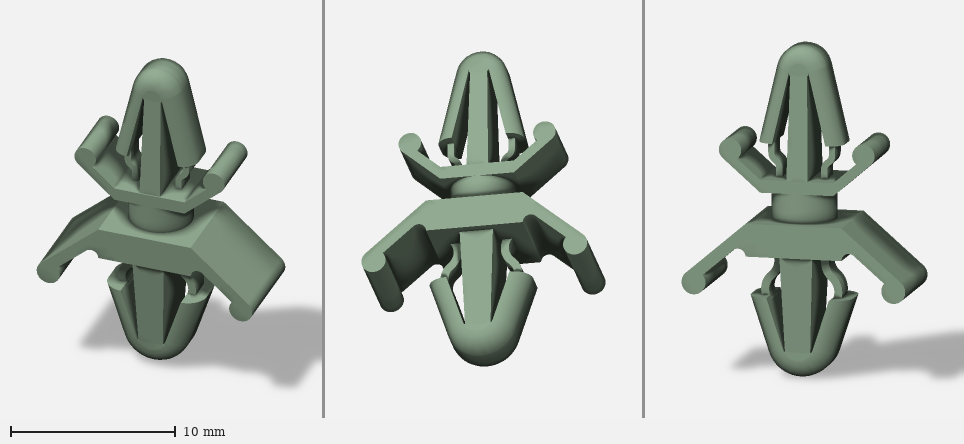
import math

import cadquery as cq

UP = 1
DOWN = -1

spacer_diameter = 4.0
spacer_height = 1.8

lower_clip_depth = 5.7
lower_plate_half = 3.0
lower_plate_thickness = 2.03
overall_width = 14.0
lower_bead_radius = 0.75
lower_bead_x = overall_width / 2 - lower_bead_radius
lower_bead_z = -3.775
relief_radius = 0.47

upper_clip_depth = 4.0
upper_plate_half = 2.28
upper_plate_thickness = 0.8
upper_bead_radius = 0.7
upper_bead_x = 4.17
upper_bead_z = 4.365
upper_plate_top = spacer_height + upper_plate_thickness

top_z = 10.77
upper_arch_radius = 0.6
upper_leg_thickness = 0.98
upper_flat_half = 0.53
upper_splay = 13.3
upper_arch_z = top_z - upper_arch_radius - upper_leg_thickness
upper_foot_z = 4.75
upper_post_end_z = 9.06
upper_post_end_half = 0.53
upper_post_root_half_x = 0.67
upper_post_root_half_y = 1.93

overall_height = 20.5
bottom_z = top_z - overall_height
lower_arch_radius = 0.97
lower_leg_thickness = 1.18
lower_flat_half = 0.6
lower_splay = 18.3
lower_arch_z = bottom_z + lower_arch_radius + lower_leg_thickness
lower_foot_z = -4.76
lower_post_end_z = -8.05
lower_post_end_half = 0.79
lower_post_root_half_x = 1.03
lower_post_root_half_y = 2.25

strip_depth = 1.42
upper_strip_thickness = 0.4
upper_strip_foot_x = 1.895
upper_strip_foot_z = 4.05
upper_strip_root_x = 1.405
upper_strip_root_z = 3.15
lower_strip_thickness = 0.5
lower_strip_foot_x = 2.29
lower_strip_foot_z = -4.41
lower_strip_root_x = 1.46
lower_strip_root_z = -2.61
lower_strip_end_angle = 38.0

embed = 0.2


def polar(center, radius, degrees):
    """Point at an angle on a circle in the XZ plane."""
    angle = math.radians(degrees)
    return (center[0] + radius * math.cos(angle), center[1] + radius * math.sin(angle))


def extrude_y(outline, depth):
    """Extrude a closed XZ outline symmetrically about Y = 0."""
    return outline.extrude(depth / 2, both=True)


def both_sides(body):
    """Body joined with its mirror image across X = 0."""
    return body.union(body.mirror("YZ"))


def arm_angle(root, bead, bead_radius):
    """Slope in degrees of the line from root that touches the far side of the bead."""
    run = bead[0] - root[0]
    rise = abs(bead[1] - root[1])
    return math.degrees(math.atan2(rise, run) - math.asin(bead_radius / math.hypot(run, rise)))


def bead_body(bead, radius, depth):
    return extrude_y(cq.Workplane("XZ").center(*bead).circle(radius), depth)


def lower_clip():
    root = (lower_plate_half, 0)
    bead = (lower_bead_x, lower_bead_z)
    slope = arm_angle(root, bead, lower_bead_radius)
    outer_normal = 90 - slope
    relief = (lower_plate_half + relief_radius, -lower_plate_thickness)
    relief_end = polar(relief, relief_radius, outer_normal)
    normal = math.radians(outer_normal)
    arm_thickness = (root[0] - relief_end[0]) * math.cos(normal) - relief_end[1] * math.sin(normal)
    outline = (
        cq.Workplane("XZ")
        .moveTo(0, 0)
        .lineTo(*root)
        .lineTo(*polar(bead, lower_bead_radius, outer_normal))
        .lineTo(*polar(bead, lower_bead_radius - arm_thickness, outer_normal))
        .lineTo(*relief_end)
        .threePointArc(polar(relief, relief_radius, 120), polar(relief, relief_radius, 180))
        .lineTo(0, -lower_plate_thickness)
        .close()
    )
    half = extrude_y(outline, lower_clip_depth)
    return both_sides(half.union(bead_body(bead, lower_bead_radius, lower_clip_depth)))


def upper_clip():
    root = (upper_plate_half, spacer_height)
    bead = (upper_bead_x, upper_bead_z)
    slope = arm_angle(root, bead, upper_bead_radius)
    outer_normal = slope - 90
    arm_thickness = upper_plate_thickness * math.cos(math.radians(slope))
    outline = (
        cq.Workplane("XZ")
        .moveTo(0, spacer_height)
        .lineTo(*root)
        .lineTo(*polar(bead, upper_bead_radius, outer_normal))
        .lineTo(*polar(bead, upper_bead_radius - arm_thickness, outer_normal))
        .lineTo(upper_plate_half, upper_plate_top)
        .lineTo(0, upper_plate_top)
        .close()
    )
    half = extrude_y(outline, upper_clip_depth)
    return both_sides(half.union(bead_body(bead, upper_bead_radius, upper_clip_depth)))


def spacer():
    return cq.Workplane("XY").circle(spacer_diameter / 2).extrude(spacer_height)


def arch(radius, thickness, flat_half, splay, leg_drop):
    """Upward arch with its bend centre at the origin and level feet leg_drop below it.

    The section is flat inside and has a full-thickness quarter round on each outer edge.
    """
    bend_start = polar((0, 0), radius, 180 - splay)
    bend_end = polar((0, 0), radius, splay)
    start_drop = leg_drop + thickness
    spread = (start_drop + bend_end[1]) * math.tan(math.radians(splay))
    start = (bend_start[0] - spread, -start_drop)
    end = (bend_end[0] + spread, -start_drop)
    path = (
        cq.Workplane("XZ")
        .moveTo(*start)
        .lineTo(*bend_start)
        .threePointArc((0, radius), bend_end)
        .lineTo(*end)
    )
    heading = polar((0, 0), 1, 90 - splay)
    section_plane = cq.Plane(
        origin=(start[0], 0, start[1]), xDir=(0, 1, 0), normal=(heading[0], 0, heading[1])
    )
    half_depth = flat_half + thickness
    section = (
        cq.Workplane(section_plane)
        .moveTo(-half_depth, 0)
        .threePointArc(polar((-flat_half, 0), thickness, 135), (-flat_half, thickness))
        .lineTo(flat_half, thickness)
        .threePointArc(polar((flat_half, 0), thickness, 45), (half_depth, 0))
        .close()
    )
    body = section.sweep(path)
    below_feet = (
        cq.Workplane("XY")
        .workplane(offset=-leg_drop)
        .rect(4 * (end[0] + thickness), 4 * half_depth)
        .extrude(-2 * start_drop)
    )
    return body.cut(below_feet)


def arch_fill(radius, chord_z, depth):
    """Circular segment that fills the inside of the bend above chord_z."""
    chord_half = math.sqrt(radius**2 - chord_z**2)
    outline = (
        cq.Workplane("XZ")
        .moveTo(-chord_half, chord_z)
        .threePointArc((0, radius), (chord_half, chord_z))
        .close()
    )
    return extrude_y(outline, depth)


def post(root_z, root_half_x, root_half_y, end_z, end_half_x, end_half_y):
    """Rectangular post tapering from its root to its end."""
    return (
        cq.Workplane("XY")
        .workplane(offset=root_z)
        .rect(2 * root_half_x, 2 * root_half_y)
        .workplane(offset=end_z - root_z)
        .rect(2 * end_half_x, 2 * end_half_y)
        .loft(ruled=True)
    )


def snap_head(direction, arch_z, radius, thickness, flat_half, splay, foot_z, post_end_z):
    """Arch with its filled bend, pointing up or down from the feet at foot_z."""
    leg_drop = abs(arch_z - foot_z)
    chord_z = direction * (post_end_z - arch_z)
    depth = 2 * (flat_half + thickness)
    head = arch(radius, thickness, flat_half, splay, leg_drop)
    head = head.union(arch_fill(radius, chord_z, depth))
    if direction == DOWN:
        head = head.mirror("XY")
    return head.translate((0, 0, arch_z))


def s_strip(foot, root, thickness, end_angle):
    """Strip of two equal tangent arcs, vertical at foot and root, with foot further out.

    Each arc runs end_angle degrees past its vertical point.
    """
    run = foot[0] - root[0]
    rise = abs(foot[1] - root[1])
    radius = (run**2 + rise**2) / (4 * run)
    turn = math.degrees(math.acos(1 - run / (2 * radius)))
    side = UP if foot[1] > root[1] else DOWN
    foot_center = (foot[0] - radius, foot[1])
    root_center = (root[0] + radius, root[1])
    inner = radius - thickness / 2
    outer = radius + thickness / 2

    def arc_piece(center, facing, past, toward):
        """Ring sector about the facing angle."""
        first = facing + past
        last = facing + toward
        middle = (first + last) / 2
        outline = (
            cq.Workplane("XZ")
            .moveTo(*polar(center, inner, first))
            .threePointArc(polar(center, inner, middle), polar(center, inner, last))
            .lineTo(*polar(center, outer, last))
            .threePointArc(polar(center, outer, middle), polar(center, outer, first))
            .close()
        )
        return extrude_y(outline, strip_depth)

    foot_piece = arc_piece(foot_center, 0, side * end_angle, -side * turn)
    root_piece = arc_piece(root_center, 180, side * end_angle, -side * turn)
    return foot_piece.union(root_piece)


def strip_lead(x, z_from, z_to, thickness):
    """Straight vertical stretch of strip centred on x."""
    middle = (z_from + z_to) / 2
    outline = cq.Workplane("XZ").center(x, middle).rect(thickness, abs(z_to - z_from))
    return extrude_y(outline, strip_depth)


def upper_strips():
    foot = (upper_strip_foot_x, upper_strip_foot_z)
    root = (upper_strip_root_x, upper_strip_root_z)
    strip = s_strip(foot, root, upper_strip_thickness, 0)
    foot_lead = strip_lead(foot[0], foot[1], upper_foot_z + embed, upper_strip_thickness)
    root_lead = strip_lead(root[0], upper_plate_top - embed, root[1], upper_strip_thickness)
    return both_sides(strip.union(foot_lead).union(root_lead))


def lower_strips():
    foot = (lower_strip_foot_x, lower_strip_foot_z)
    root = (lower_strip_root_x, lower_strip_root_z)
    return both_sides(s_strip(foot, root, lower_strip_thickness, lower_strip_end_angle))


upper_head = snap_head(
    UP, upper_arch_z, upper_arch_radius, upper_leg_thickness,
    upper_flat_half, upper_splay, upper_foot_z, upper_post_end_z,
)
upper_post = post(
    upper_plate_top, upper_post_root_half_x, upper_post_root_half_y,
    upper_post_end_z, upper_post_end_half, upper_flat_half + upper_leg_thickness,
)
lower_head = snap_head(
    DOWN, lower_arch_z, lower_arch_radius, lower_leg_thickness,
    lower_flat_half, lower_splay, lower_foot_z, lower_post_end_z,
)
lower_post = post(
    -lower_plate_thickness, lower_post_root_half_x, lower_post_root_half_y,
    lower_post_end_z, lower_post_end_half, lower_flat_half + lower_leg_thickness,
)

result = (
    lower_clip()
    .union(spacer())
    .union(upper_clip())
    .union(upper_post)
    .union(upper_head)
    .union(upper_strips())
    .union(lower_post)
    .union(lower_head)
    .union(lower_strips())
)